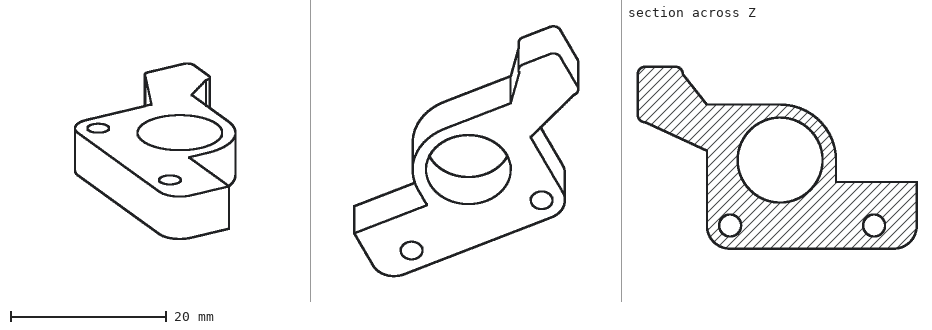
import cadquery as cq

thickness = 6.0
overall_length = 35.89
overall_height = 23.42

foot_length = 27.0
foot_height = 8.62
body_width = 16.63
body_height = 18.56
corner_radius = 3.0

bore_diameter = 10.9
bore_x = 9.42
bore_y = 11.41
shoulder_radius = body_width - bore_x

mount_hole_diameter = 2.8
mount_hole_spacing = 18.5
mount_hole_y = corner_radius

tip_width = 5.84
tip_height = 7.17
tip_radius = 1.0
tip_left = foot_length - overall_length
tip_right = tip_left + tip_width
tip_bottom = overall_height - tip_height
arm_root_y = 12.6


def make_body():
    """Body and foot, with the outer corners and the shoulder rounded."""
    outline = [
        (0, 0),
        (foot_length, 0),
        (foot_length, foot_height),
        (body_width, foot_height),
        (body_width, body_height),
        (0, body_height),
    ]
    body = cq.Workplane("XY").polyline(outline).close().extrude(thickness)
    body = body.edges("|Z and <Y").fillet(corner_radius)
    shoulder_corner = cq.selectors.NearestToPointSelector((body_width, body_height, thickness / 2))
    return body.edges("|Z").edges(shoulder_corner).fillet(shoulder_radius)


def make_arm_tip():
    """Rectangular end of the arm with every corner rounded."""
    return (
        cq.Workplane("XY")
        .rect(tip_width, tip_height)
        .extrude(thickness)
        .edges("|Z")
        .fillet(tip_radius)
        .translate((tip_left + tip_width / 2, tip_bottom + tip_height / 2, 0))
    )


def make_arm_web():
    """Sloping web between the arm tip and the body, starting where the tip's corner arcs end."""
    outline = [
        (tip_left + tip_radius, tip_bottom),
        (0, arm_root_y),
        (0, body_height),
        (tip_right, overall_height - tip_radius),
    ]
    return cq.Workplane("XY").polyline(outline).close().extrude(thickness)


def make_holes():
    """Cutters for the bore and the mounting holes, all through the plate."""
    cutters = cq.Workplane("XY").center(bore_x, bore_y).circle(bore_diameter / 2).extrude(thickness)
    for hole_x in (corner_radius, corner_radius + mount_hole_spacing):
        hole = cq.Workplane("XY").center(hole_x, mount_hole_y).circle(mount_hole_diameter / 2)
        cutters = cutters.union(hole.extrude(thickness))
    return cutters


plate = make_body().union(make_arm_web()).union(make_arm_tip())
result = plate.cut(make_holes()).clean()